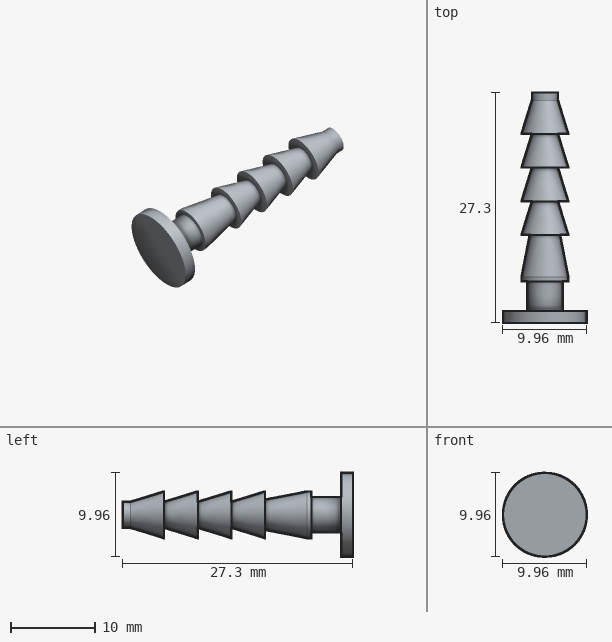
import cadquery as cq

total_length = 27.3

head_diameter = 9.96
head_thickness = 1.45

neck_diameter = 4.23
neck_end = 4.95

barb_diameter = 5.57
collar_length = 0.52
first_barb_end = 10.43
first_barb_end_diameter = 3.63

barb_count = 4
barb_pitch = 3.99
barb_end_diameter = 3.1

tip_diameter = barb_end_diameter


def cone_section(start, end, start_diameter, end_diameter):
    """Round section along Y whose radius changes evenly from start to end."""
    start_radius = start_diameter / 2
    end_radius = end_diameter / 2
    return (
        cq.Workplane("XY")
        .moveTo(0, start)
        .lineTo(start_radius, start)
        .lineTo(end_radius, end)
        .lineTo(0, end)
        .close()
        .revolve(360, (0, 0, 0), (0, 1, 0))
    )


def round_section(start, end, diameter):
    """Straight cylinder along Y."""
    return cone_section(start, end, diameter, diameter)


head = round_section(0, head_thickness, head_diameter)
neck = round_section(head_thickness, neck_end, neck_diameter)

collar_end = neck_end + collar_length
collar = round_section(neck_end, collar_end, barb_diameter)
first_barb = cone_section(collar_end, first_barb_end, barb_diameter, first_barb_end_diameter)

result = head.union(neck).union(collar).union(first_barb)

for index in range(barb_count):
    barb_start = first_barb_end + index * barb_pitch
    barb = cone_section(barb_start, barb_start + barb_pitch, barb_diameter, barb_end_diameter)
    result = result.union(barb)

last_barb_end = first_barb_end + barb_count * barb_pitch
result = result.union(round_section(last_barb_end, total_length, tip_diameter))

result = result.translate((0, -total_length / 2, 0))